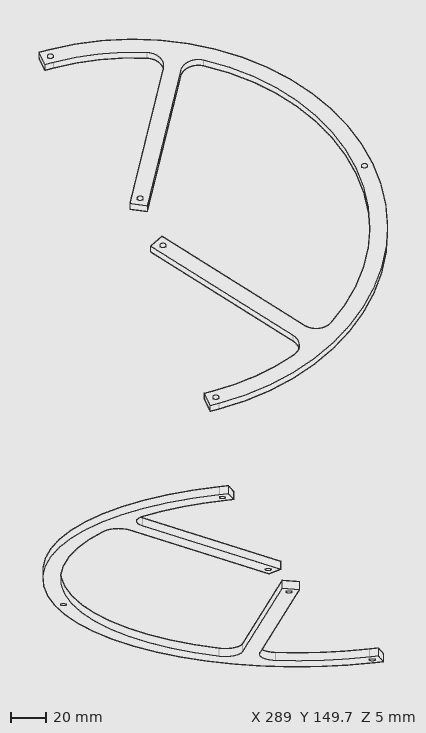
import cadquery as cq
import math

outer_radius = 144.5
bar_width = 10.0
thickness = 5.0
leg_length = 5.2
spoke_angle = 30.0
spoke_hole_radius = 22.3
hole_diameter = 3.5
fillet_radius = 10.0

inner_radius = outer_radius - bar_width
mid_radius = outer_radius - bar_width / 2
spoke_start = spoke_hole_radius - bar_width / 2
spoke_length = mid_radius - spoke_start
spoke_angles = (spoke_angle, 180 - spoke_angle)
rim_hole_angles = (0, 90, 180)


def polar_point(radius, angle):
    """Point at a radius and an angle in degrees about the arc centre."""
    return (radius * math.cos(math.radians(angle)), radius * math.sin(math.radians(angle)))


def make_rim():
    """Half ring whose two ends run straight down."""
    return (
        cq.Workplane("XY")
        .moveTo(outer_radius, -leg_length)
        .lineTo(outer_radius, 0)
        .threePointArc((0, outer_radius), (-outer_radius, 0))
        .lineTo(-outer_radius, -leg_length)
        .lineTo(-inner_radius, -leg_length)
        .lineTo(-inner_radius, 0)
        .threePointArc((0, inner_radius), (inner_radius, 0))
        .lineTo(inner_radius, -leg_length)
        .close()
        .extrude(thickness)
    )


def make_spoke(angle):
    """Radial bar ending inside the rim."""
    return (
        cq.Workplane("XY")
        .center(spoke_start + spoke_length / 2, 0)
        .rect(spoke_length, bar_width)
        .extrude(thickness)
        .rotate((0, 0, 0), (0, 0, 1), angle)
    )


def round_spoke_roots(body):
    """Fillet both corners where each spoke meets the inside of the rim."""
    half_width = bar_width / 2
    root_offset = math.degrees(math.asin(half_width / inner_radius))
    for angle in spoke_angles:
        for side in (-1, 1):
            x, y = polar_point(inner_radius, angle + side * root_offset)
            corner = cq.selectors.NearestToPointSelector((x, y, thickness / 2))
            body = body.edges("|Z").edges(corner).fillet(fillet_radius)
    return body


body = make_rim()
for angle in spoke_angles:
    body = body.union(make_spoke(angle))
body = round_spoke_roots(body)

hole_points = [polar_point(mid_radius, angle) for angle in rim_hole_angles]
hole_points += [polar_point(spoke_hole_radius, angle) for angle in spoke_angles]
holes = cq.Workplane("XY").pushPoints(hole_points).circle(hole_diameter / 2).extrude(thickness)

result = body.cut(holes)